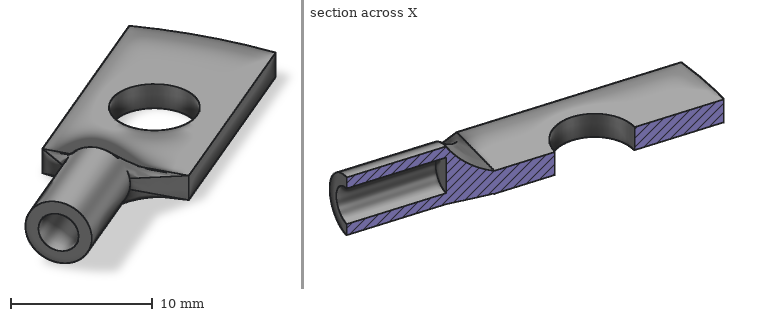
import cadquery as cq
import math

length = 30.45
width = 11.0
height = 5.4

tongue_thickness = 2.0
tongue_start = 11.9
end_bulge = 0.43
hole_diameter = 6.42
hole_y = 20.0

barrel_diameter = 5.0
bore_diameter = 3.0
barrel_length = 8.0
bore_depth = barrel_length
barrel_z = height - barrel_diameter / 2

hollow_drop = 0.5


def xz_plane(y):
    """Plane across the part at y, with its normal toward +Y and local y pointing down."""
    return cq.Plane(origin=(0, y, 0), xDir=(1, 0, 0), normal=(0, 1, 0))


def make_tongue():
    """Flat tongue with a slightly bowed far end and a stud hole."""
    side_end = length - end_bulge
    outline = (
        cq.Workplane("XY")
        .moveTo(-width / 2, tongue_start)
        .lineTo(width / 2, tongue_start)
        .lineTo(width / 2, side_end)
        .threePointArc((0, length), (-width / 2, side_end))
        .close()
    )
    hole = cq.Workplane("XY").center(0, hole_y).circle(hole_diameter / 2).extrude(tongue_thickness)
    return outline.extrude(tongue_thickness).cut(hole)


def make_barrel():
    return cq.Workplane(xz_plane(0)).center(0, -barrel_z).circle(barrel_diameter / 2).extrude(barrel_length)


def make_transition():
    """Ruled loft from the round barrel to the rectangular tongue.

    The circle is split into four arcs where its corner angle matches the tongue's,
    so that each arc runs into one side of the rectangle.
    """
    radius = barrel_diameter / 2
    corner_angle = math.atan2(tongue_thickness, width)
    corner_x = radius * math.cos(corner_angle)
    corner_z = radius * math.sin(corner_angle)
    return (
        cq.Workplane(xz_plane(barrel_length))
        .center(0, -barrel_z)
        .moveTo(-corner_x, -corner_z)
        .threePointArc((0, -radius), (corner_x, -corner_z))
        .threePointArc((radius, 0), (corner_x, corner_z))
        .threePointArc((0, radius), (-corner_x, corner_z))
        .threePointArc((-radius, 0), (-corner_x, -corner_z))
        .close()
        .workplane(offset=tongue_start - barrel_length)
        .center(0, barrel_z - tongue_thickness / 2)
        .rect(width, tongue_thickness)
        .loft(ruled=True)
    )


def make_hollow():
    """Cutter that makes the top of the transition concave along its length."""
    middle_y = (barrel_length + tongue_start) / 2
    middle_z = (height + tongue_thickness) / 2 - hollow_drop
    return (
        cq.Workplane("YZ")
        .moveTo(barrel_length, height)
        .threePointArc((middle_y, middle_z), (tongue_start, tongue_thickness))
        .lineTo(tongue_start, height)
        .close()
        .extrude(width / 2, both=True)
    )


def make_bore():
    return cq.Workplane(xz_plane(0)).center(0, -barrel_z).circle(bore_diameter / 2).extrude(bore_depth)


transition = make_transition().cut(make_hollow())
result = make_tongue().union(transition).union(make_barrel()).cut(make_bore())